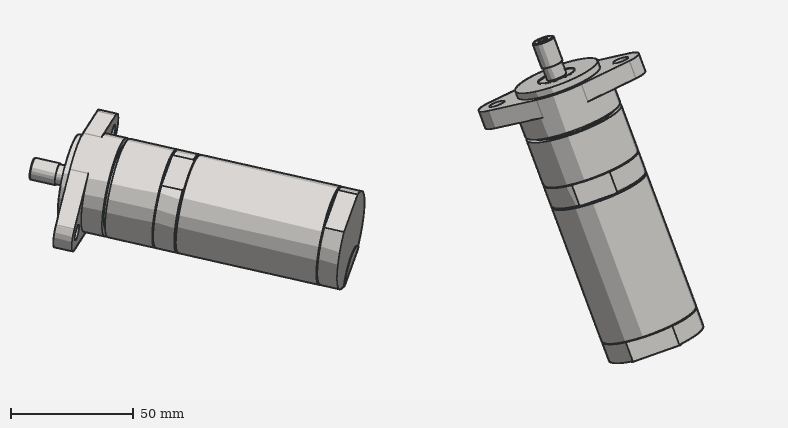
import cadquery as cq
import math


shaft_neck_start = 10.9
pilot_start = 16.0
flange_start = 18.9
flange_end = 26.8
groove_start = 35.6
groove_end = 37.0
gearbox_end = 57.4
coupling_end = 66.8
motor_end = 127.3
cap_end = 135.7
total_length = 136.0

body_diameter = 41.5
cap_diameter = 41.3
pilot_diameter = 36.0
shaft_diameter = 9.2
shaft_neck_diameter = 8.5
shaft_recess_diameter = 16.0
shaft_recess_depth = 0.4

shaft_tip_chamfer = 0.4
body_chamfer = 0.4

coupling_flat_width = 38.1
cap_flat_width = 36.0

hole_spacing = 53.9
hole_diameter = 6.5
ear_radius = 8.0

center_hole_mouth = 4.0
center_drill_diameter = 1.6
center_cone_angle = 60.0
center_drill_length = 2.0

pad_radius = 11.8
pad_top_height = -10.6

body_radius = body_diameter / 2


def cylinder(start, end, diameter):
    """Solid cylinder on the X axis."""
    return cq.Workplane("YZ").workplane(offset=start).circle(diameter / 2).extrude(end - start)


def with_flats(turned, start, end, flat_width):
    """Turned section milled to two parallel flats facing +Z and -Z."""
    slab = cq.Workplane("YZ").workplane(offset=start).rect(body_diameter, flat_width).extrude(end - start)
    return turned.intersect(slab)


def make_flange():
    """Rhombic flange: a body-diameter circle joined to two ears by tangent lines."""
    ear_y = hole_spacing / 2
    tangent_sin = (body_radius - ear_radius) / ear_y
    tangent_cos = math.sqrt(1 - tangent_sin**2)
    rim_y = body_radius * tangent_sin
    rim_z = body_radius * tangent_cos
    ear_end_y = ear_y + ear_radius * tangent_sin
    ear_end_z = ear_radius * tangent_cos
    tip_y = ear_y + ear_radius
    return (
        cq.Workplane("YZ")
        .workplane(offset=flange_start)
        .moveTo(-rim_y, rim_z)
        .threePointArc((0, body_radius), (rim_y, rim_z))
        .lineTo(ear_end_y, ear_end_z)
        .threePointArc((tip_y, 0), (ear_end_y, -ear_end_z))
        .lineTo(rim_y, -rim_z)
        .threePointArc((0, -body_radius), (-rim_y, -rim_z))
        .lineTo(-ear_end_y, -ear_end_z)
        .threePointArc((-tip_y, 0), (-ear_end_y, ear_end_z))
        .close()
        .pushPoints([(-ear_y, 0), (ear_y, 0)])
        .circle(hole_diameter / 2)
        .extrude(flange_end - flange_start)
    )


def make_shaft():
    """Stepped output shaft with a chamfered, center-drilled tip."""
    tip = cylinder(0, shaft_neck_start, shaft_diameter).faces("<X").chamfer(shaft_tip_chamfer)
    neck = cylinder(shaft_neck_start, flange_start, shaft_neck_diameter)
    mouth_radius = center_hole_mouth / 2
    drill_radius = center_drill_diameter / 2
    cone_depth = (mouth_radius - drill_radius) / math.tan(math.radians(center_cone_angle / 2))
    drill_end = cone_depth + center_drill_length
    center_hole = (
        cq.Workplane("XY")
        .lineTo(0, mouth_radius)
        .lineTo(cone_depth, drill_radius)
        .lineTo(drill_end, drill_radius)
        .lineTo(drill_end, 0)
        .close()
        .revolve(360, (0, 0, 0), (1, 0, 0))
    )
    return tip.union(neck).cut(center_hole)


def make_pilot():
    """Centering pilot with a shallow recess around the shaft; its core also forms the groove floor."""
    pilot = cylinder(pilot_start, groove_end, pilot_diameter)
    recess = cylinder(pilot_start, pilot_start + shaft_recess_depth, shaft_recess_diameter)
    return pilot.cut(recess)


def make_rear_pad():
    """Thin round pad on the rear face, trimmed to the outline of the end cap."""
    pad = (
        cq.Workplane("YZ")
        .workplane(offset=cap_end)
        .center(0, pad_top_height - pad_radius)
        .circle(pad_radius)
        .extrude(total_length - cap_end)
    )
    cap_outline = cylinder(cap_end, total_length, cap_diameter)
    return with_flats(pad.intersect(cap_outline), cap_end, total_length, cap_flat_width)


front_body = cylinder(flange_start, groove_start, body_diameter)
gearbox = cylinder(groove_end, gearbox_end, body_diameter).faces(">X").chamfer(body_chamfer)
coupling_blank = cylinder(gearbox_end, coupling_end, body_diameter).faces(">X").chamfer(body_chamfer)
coupling = with_flats(coupling_blank, gearbox_end, coupling_end, coupling_flat_width)
motor = cylinder(coupling_end, motor_end, body_diameter).faces("<X or >X").chamfer(body_chamfer)
cap_blank = cylinder(motor_end, cap_end, cap_diameter)
end_cap = with_flats(cap_blank, motor_end, cap_end, cap_flat_width)

result = make_pilot()
sections = [make_shaft(), make_flange(), front_body, gearbox, coupling, motor, end_cap, make_rear_pad()]
for section in sections:
    result = result.union(section)